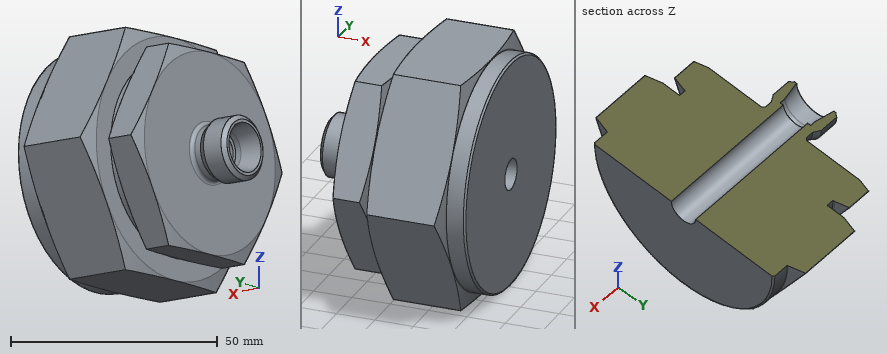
import cadquery as cq
import math


NOSE_DIA = 16.0
TIP_CHAMFER_LENGTH = 1.0
TIP_CHAMFER_DEPTH = 1.1
NOSE_CYLINDER_END = 6.45
GROOVE_DIA = 13.7
GROOVE_START = 8.3
ROOT_FILLET = 1.0

FLATS_TO_CORNERS = math.cos(math.radians(30))

SMALL_HEX_START = 11.0
SMALL_HEX_END = 20.0
SMALL_HEX_FLATS = 50.0
NECK_DIA = 49.0
LARGE_HEX_START = 21.95
LARGE_HEX_END = 42.0
LARGE_HEX_CORNERS = 69.3
LARGE_HEX_FLATS = LARGE_HEX_CORNERS * FLATS_TO_CORNERS
COLLAR_DIA = 59.6
COLLAR_END = 46.9
COLLAR_CHAMFER = 0.5
HEX_CHAMFER_ANGLE = 15

CONE_MOUTH_DIA = 12.25
CONE_HALF_ANGLE = 12
SEAT_DIA = 10.0
SEAT_DEPTH = 7.0
THROUGH_DIA = 8.0


def revolve_about_x(profile):
    """Turn a closed half profile drawn as (x, radius) about the X axis."""
    return profile.close().revolve(360, (0, 0, 0), (1, 0, 0))


def cylinder(start, end, diameter):
    """Round bar along X between two stations."""
    return cq.Workplane("YZ").workplane(offset=start).circle(diameter / 2).extrude(end - start)


def chamfered_hexagon(start, end, flats):
    """Hexagon with corners on +/-Y, its corners turned off conically at both ends."""
    corners = flats / FLATS_TO_CORNERS
    flat_radius = flats / 2
    corner_radius = corners / 2
    chamfer_length = (corner_radius - flat_radius) * math.tan(math.radians(HEX_CHAMFER_ANGLE))
    prism = cq.Workplane("YZ").workplane(offset=start).polygon(6, corners).extrude(end - start)
    envelope = revolve_about_x(
        cq.Workplane("XY")
        .moveTo(start, 0)
        .lineTo(start, flat_radius)
        .lineTo(start + chamfer_length, corner_radius)
        .lineTo(end - chamfer_length, corner_radius)
        .lineTo(end, flat_radius)
        .lineTo(end, 0)
    )
    return prism.intersect(envelope)


def nose():
    """Turned nose, reaching into the small hexagon so that the two fuse."""
    nose_radius = NOSE_DIA / 2
    groove_radius = GROOVE_DIA / 2
    fillet_start = SMALL_HEX_START - ROOT_FILLET
    fillet_center_radius = groove_radius + ROOT_FILLET
    fillet_middle = (
        SMALL_HEX_START - ROOT_FILLET * (1 - math.sin(math.radians(45))),
        fillet_center_radius - ROOT_FILLET * math.cos(math.radians(45)),
    )
    return revolve_about_x(
        cq.Workplane("XY")
        .moveTo(0, 0)
        .lineTo(0, nose_radius - TIP_CHAMFER_DEPTH)
        .lineTo(TIP_CHAMFER_LENGTH, nose_radius)
        .lineTo(NOSE_CYLINDER_END, nose_radius)
        .lineTo(GROOVE_START, groove_radius)
        .lineTo(fillet_start, groove_radius)
        .threePointArc(fillet_middle, (SMALL_HEX_START, fillet_center_radius))
        .lineTo(SMALL_HEX_END, fillet_center_radius)
        .lineTo(SMALL_HEX_END, 0)
    )


def bore():
    """Cone at the nose, stepped tube seat, then a plain hole through the part."""
    mouth_radius = CONE_MOUTH_DIA / 2
    seat_radius = SEAT_DIA / 2
    cone_depth = (mouth_radius - seat_radius) / math.tan(math.radians(CONE_HALF_ANGLE))
    return revolve_about_x(
        cq.Workplane("XY")
        .moveTo(0, 0)
        .lineTo(0, mouth_radius)
        .lineTo(cone_depth, seat_radius)
        .lineTo(SEAT_DEPTH, seat_radius)
        .lineTo(SEAT_DEPTH, THROUGH_DIA / 2)
        .lineTo(COLLAR_END, THROUGH_DIA / 2)
        .lineTo(COLLAR_END, 0)
    )


small_hex = chamfered_hexagon(SMALL_HEX_START, SMALL_HEX_END, SMALL_HEX_FLATS)
large_hex = chamfered_hexagon(LARGE_HEX_START, LARGE_HEX_END, LARGE_HEX_FLATS)
neck = cylinder(SMALL_HEX_END, LARGE_HEX_START, NECK_DIA)
collar = cylinder(LARGE_HEX_END, COLLAR_END, COLLAR_DIA).faces(">X").chamfer(COLLAR_CHAMFER)

result = nose().union(small_hex).union(neck).union(large_hex).union(collar).cut(bore())